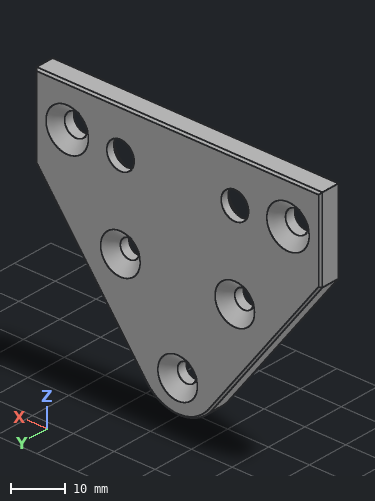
import cadquery as cq
import math

width = 70.0
height = 60.0
thickness = 5.0
side_height = 20.0
tip_radius = 10.0
back_chamfer = 0.5

inner_offset = 14.0
outer_offset = 27.0
screw_drop = 10.5
screw_diameter = 6.65
screw_sink_diameter = 12.7
outer_drop = 10.0
outer_diameter = 5.5
outer_sink_diameter = 10.35
small_diameter = 4.55
small_sink_diameter = 9.65
middle_drop = 31.2
tip_drop = 52.0

half_width = width / 2
tip_center_z = tip_radius - height
corner_rise = -side_height - tip_center_z
corner_distance = math.hypot(half_width, corner_rise)
tangent_angle = math.atan2(corner_rise, half_width) - math.acos(tip_radius / corner_distance)
tangent_x = tip_radius * math.cos(tangent_angle)
tangent_z = tip_center_z + tip_radius * math.sin(tangent_angle)


def plate():
    """Plate with its front face at Y = 0 and its top edge at Z = 0."""
    outline = (
        cq.Workplane("XZ")
        .moveTo(-half_width, 0)
        .lineTo(half_width, 0)
        .lineTo(half_width, -side_height)
        .lineTo(tangent_x, tangent_z)
        .threePointArc((0, -height), (-tangent_x, tangent_z))
        .lineTo(-half_width, -side_height)
        .close()
    )
    return outline.extrude(-thickness).faces(">Y").edges().chamfer(back_chamfer)


def mirrored(offset, drop):
    """A pair of hole centres on both sides of the centre line."""
    return [(-offset, -drop), (offset, -drop)]


def drill(centers, diameter):
    """Cylinders through the full thickness."""
    return cq.Workplane("XZ").pushPoints(centers).circle(diameter / 2).extrude(-thickness)


def countersink(center, sink, hole, face_y):
    """90 degree cone narrowing from diameter sink on the given face to the hole inside the plate."""
    depth = (sink - hole) / 2
    x, z = center
    inward = 1 if face_y == 0 else -1
    base = cq.Vector(x, face_y, z)
    return cq.Workplane(cq.Solid.makeCone(sink / 2, hole / 2, depth, base, cq.Vector(0, inward, 0)))


screw_centers = mirrored(inner_offset, screw_drop)
outer_centers = mirrored(outer_offset, outer_drop)
small_centers = mirrored(inner_offset, middle_drop) + [(0, -tip_drop)]

hole_groups = [
    (screw_centers, screw_diameter, screw_sink_diameter, 0),
    (outer_centers, outer_diameter, outer_sink_diameter, thickness),
    (small_centers, small_diameter, small_sink_diameter, thickness),
]

result = plate()
for centers, hole_diameter, sink_diameter, sink_face_y in hole_groups:
    result = result.cut(drill(centers, hole_diameter))
    for hole_center in centers:
        result = result.cut(countersink(hole_center, sink_diameter, hole_diameter, sink_face_y))